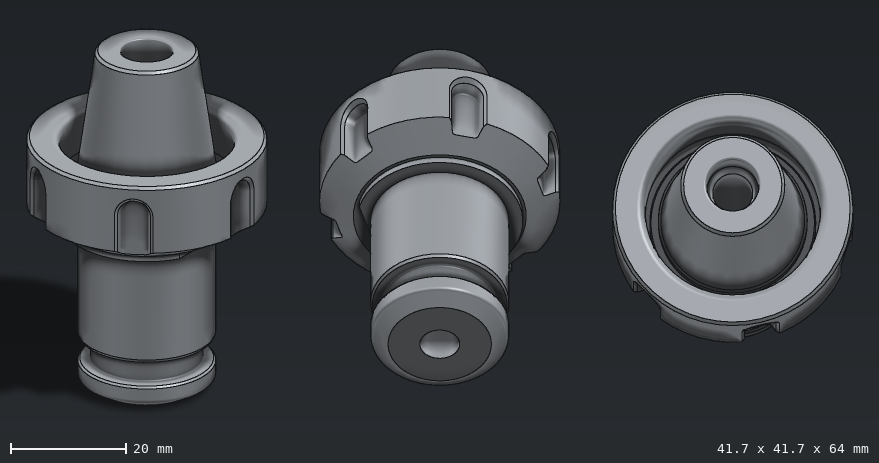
import cadquery as cq
import math

TOTAL_HEIGHT = 64.0
EDGE_CHAMFER = 0.5
FACE_ANGLE = math.radians(30)

SHANK_RADIUS = 24.0 / 2
NECK_RADIUS = 19.5 / 2
FOOT_FACE_RADIUS = 8.95
FOOT_TOP_Z = 5.0
FOOT_TOP_CHAMFER = 0.4
FOOT_EDGE_FILLET = 1.0
NECK_FILLET = 0.5
NECK_TOP_Z = 9.6
SHANK_CHAMFER_WIDTH = 0.3
SHANK_CHAMFER_HEIGHT = 0.6

RING_RADIUS = 28.8 / 2
RING_BOTTOM_Z = 30.2
RING_TOP_Z = 36.85
RING_CHAMFER = 0.225
RING_FLAT_X = 12.4

NUT_RADIUS = 41.7 / 2
NUT_BOTTOM_Z = 31.5
NUT_CYLINDER_BOTTOM_Z = 34.9
NUT_TOP_Z = 47.5
NUT_FLOOR_Z = 34.55
NUT_BORE_RADIUS = 30.4 / 2
NUT_BORE_BOTTOM_Z = 39.75
MOUTH_FILLET = 1.4
UNDERCUT_RADIUS = 32.5 / 2
UNDERCUT_TOP_Z = 37.45
UNDERCUT_FILLET = 0.95

CONE_ANGLE = math.radians(8)
CONE_TIP_RADIUS = 18.05 / 2
CONE_BASE_RADIUS = 12.9
CONE_BASE_CHAMFER = 0.45

BORE_RADIUS = 6.9 / 2
BORE_ENTRY_RADIUS = 9.0 / 2
BORE_ENTRY_DEPTH = 4.75
BORE_MOUTH_FILLET = 0.45
BORE_STEP_ANGLE = math.radians(45)

NOTCH_COUNT = 6
NOTCH_FLOOR_DISTANCE = 18.2
NOTCH_FLOOR_HALF_WIDTH = 2.2
NOTCH_ARCH_CENTRE_Z = 41.6
NOTCH_WALL_TAPER = 20
NOTCH_WALL_DEPTH = 1.9
NOTCH_FLOOR_FILLET = 0.5
NOTCH_LIP_TAPER = 45
NOTCH_LIP_DEPTH = 1.3
NOTCH_RUNOUT = 16.0


def revolve(profile):
    """Turn a closed (radius, height) profile about the Z axis."""
    return profile.close().revolve(360, (0, 0, 0), (0, 1, 0))


def make_shank():
    foot_corner_z = (SHANK_RADIUS - FOOT_FACE_RADIUS) * math.tan(FACE_ANGLE)
    tangent = FOOT_EDGE_FILLET * math.tan((math.pi / 2 - FACE_ANGLE) / 2)
    arc_start = (
        SHANK_RADIUS - tangent * math.cos(FACE_ANGLE),
        foot_corner_z - tangent * math.sin(FACE_ANGLE),
    )
    arc_end = (SHANK_RADIUS, foot_corner_z + tangent)
    profile = (
        cq.Workplane("XZ")
        .lineTo(FOOT_FACE_RADIUS, 0)
        .lineTo(*arc_start)
        .radiusArc(arc_end, -FOOT_EDGE_FILLET)
        .lineTo(SHANK_RADIUS, FOOT_TOP_Z - FOOT_TOP_CHAMFER)
        .lineTo(SHANK_RADIUS - FOOT_TOP_CHAMFER, FOOT_TOP_Z)
        .lineTo(NECK_RADIUS + NECK_FILLET, FOOT_TOP_Z)
        .radiusArc((NECK_RADIUS, FOOT_TOP_Z + NECK_FILLET), NECK_FILLET)
        .lineTo(NECK_RADIUS, NECK_TOP_Z - NECK_FILLET)
        .radiusArc((NECK_RADIUS + NECK_FILLET, NECK_TOP_Z), NECK_FILLET)
        .lineTo(SHANK_RADIUS - SHANK_CHAMFER_WIDTH, NECK_TOP_Z)
        .lineTo(SHANK_RADIUS, NECK_TOP_Z + SHANK_CHAMFER_HEIGHT)
        .lineTo(SHANK_RADIUS, RING_TOP_Z)
        .lineTo(0, RING_TOP_Z)
    )
    return revolve(profile)


def make_ring():
    ring = cq.Workplane("XY").workplane(offset=RING_BOTTOM_Z).circle(RING_RADIUS)
    ring = ring.extrude(RING_TOP_Z - RING_BOTTOM_Z).faces(">Z").chamfer(RING_CHAMFER)
    flat_height = NUT_BOTTOM_Z - RING_BOTTOM_Z
    flat_cutter = cq.Workplane("XY").box(
        RING_RADIUS, 2 * RING_RADIUS, flat_height, centered=(False, True, False)
    )
    return ring.cut(flat_cutter.translate((RING_FLAT_X, 0, RING_BOTTOM_Z)))


def make_nut():
    underside_run = (NUT_CYLINDER_BOTTOM_Z - NUT_BOTTOM_Z) / math.tan(FACE_ANGLE)
    profile = (
        cq.Workplane("XZ")
        .moveTo(0, NUT_BOTTOM_Z)
        .lineTo(NUT_RADIUS - underside_run, NUT_BOTTOM_Z)
        .lineTo(NUT_RADIUS, NUT_CYLINDER_BOTTOM_Z)
        .lineTo(NUT_RADIUS, NUT_TOP_Z - EDGE_CHAMFER)
        .lineTo(NUT_RADIUS - EDGE_CHAMFER, NUT_TOP_Z)
        .lineTo(NUT_BORE_RADIUS + MOUTH_FILLET, NUT_TOP_Z)
        .radiusArc((NUT_BORE_RADIUS, NUT_TOP_Z - MOUTH_FILLET), -MOUTH_FILLET)
        .lineTo(NUT_BORE_RADIUS, NUT_BORE_BOTTOM_Z)
        .lineTo(UNDERCUT_RADIUS, UNDERCUT_TOP_Z)
        .lineTo(UNDERCUT_RADIUS, NUT_FLOOR_Z + UNDERCUT_FILLET)
        .radiusArc((UNDERCUT_RADIUS - UNDERCUT_FILLET, NUT_FLOOR_Z), UNDERCUT_FILLET)
        .lineTo(0, NUT_FLOOR_Z)
    )
    nut = revolve(profile)
    cutter = make_notch_cutter()
    for i in range(NOTCH_COUNT):
        nut = nut.cut(cutter.rotate((0, 0, 0), (0, 0, 1), i * 360 / NOTCH_COUNT))
    return nut


def notch_outline(distance, half_width):
    """Round-topped notch outline on a plane facing +X."""
    return (
        cq.Workplane("YZ", origin=(distance, 0, NOTCH_ARCH_CENTRE_Z))
        .moveTo(half_width, -NOTCH_RUNOUT)
        .lineTo(half_width, 0)
        .threePointArc((0, half_width), (-half_width, 0))
        .lineTo(-half_width, -NOTCH_RUNOUT)
        .close()
    )


def make_notch_cutter():
    lip_distance = NOTCH_FLOOR_DISTANCE + NOTCH_WALL_DEPTH
    wall_spread = NOTCH_WALL_DEPTH * math.tan(math.radians(NOTCH_WALL_TAPER))
    lip_half_width = NOTCH_FLOOR_HALF_WIDTH + wall_spread
    walls = notch_outline(NOTCH_FLOOR_DISTANCE, NOTCH_FLOOR_HALF_WIDTH)
    walls = walls.extrude(NOTCH_WALL_DEPTH, taper=-NOTCH_WALL_TAPER)
    walls = walls.faces("<X").edges("not <Z").fillet(NOTCH_FLOOR_FILLET)
    lip = notch_outline(lip_distance, lip_half_width)
    lip = lip.extrude(NOTCH_LIP_DEPTH, taper=-NOTCH_LIP_TAPER)
    return walls.union(lip)


def make_cone():
    chamfer_top_radius = CONE_BASE_RADIUS - CONE_BASE_CHAMFER
    tip_z = TOTAL_HEIGHT - EDGE_CHAMFER
    chamfer_top_z = tip_z - (chamfer_top_radius - CONE_TIP_RADIUS) / math.tan(CONE_ANGLE)
    profile = (
        cq.Workplane("XZ")
        .moveTo(0, NUT_FLOOR_Z)
        .lineTo(CONE_BASE_RADIUS, NUT_FLOOR_Z)
        .lineTo(CONE_BASE_RADIUS, chamfer_top_z - CONE_BASE_CHAMFER)
        .lineTo(chamfer_top_radius, chamfer_top_z)
        .lineTo(CONE_TIP_RADIUS, tip_z)
        .lineTo(CONE_TIP_RADIUS - EDGE_CHAMFER, TOTAL_HEIGHT)
        .lineTo(0, TOTAL_HEIGHT)
    )
    return revolve(profile)


def make_bore():
    entry_bottom_z = TOTAL_HEIGHT - BORE_ENTRY_DEPTH
    step_height = (BORE_ENTRY_RADIUS - BORE_RADIUS) * math.tan(BORE_STEP_ANGLE)
    mouth_edge = (BORE_ENTRY_RADIUS + BORE_MOUTH_FILLET, TOTAL_HEIGHT)
    profile = (
        cq.Workplane("XZ")
        .lineTo(BORE_RADIUS, 0)
        .lineTo(BORE_RADIUS, entry_bottom_z - step_height)
        .lineTo(BORE_ENTRY_RADIUS, entry_bottom_z)
        .lineTo(BORE_ENTRY_RADIUS, TOTAL_HEIGHT - BORE_MOUTH_FILLET)
        .radiusArc(mouth_edge, BORE_MOUTH_FILLET)
        .lineTo(0, TOTAL_HEIGHT)
    )
    return revolve(profile)


body = make_shank().union(make_nut()).union(make_ring()).union(make_cone())
result = body.cut(make_bore())